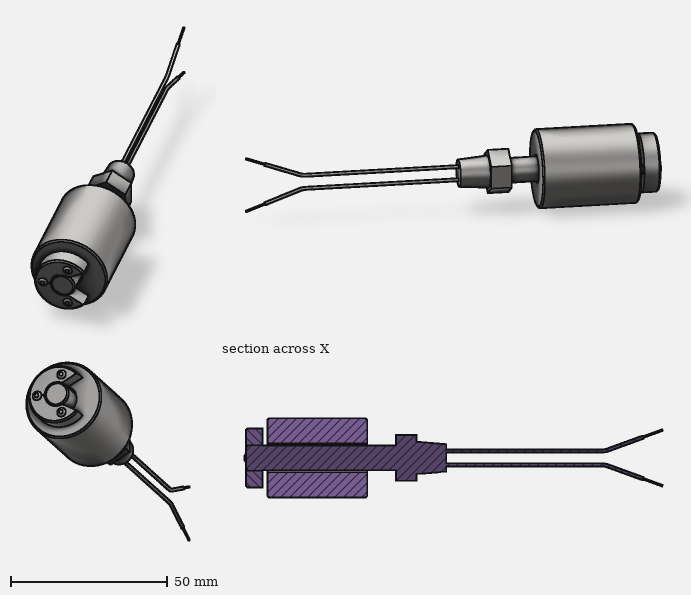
import cadquery as cq
import math

TOTAL_LENGTH = 133.9

CLIP_DIAMETER = 19.0
CLIP_FRONT = 0.5
CLIP_BACK = 5.9
CLIP_CHAMFER = 0.5
CLIP_MOUTH_HALF_ANGLE = 28.5
CLIP_MOUTH_APEX_X = -4.7
BUMP_COUNT = 3
BUMP_CIRCLE_RADIUS = 6.5
BUMP_PITCH_ANGLE = 105.0
BUMP_BASE_RADIUS = 1.5
BUMP_TIP_RADIUS = 0.7
BUMP_HEIGHT = CLIP_FRONT

FLOAT_DIAMETER = 25.5
FLOAT_FRONT = 7.4
FLOAT_LENGTH = 32.0
FLOAT_BORE_DIAMETER = 9.1
FLOAT_CHAMFER = 0.5

STEM_DIAMETER = 8.0
STEM_CHAMFER = 0.5
HEX_START = 48.5
HEX_LENGTH = 6.7
HEX_ACROSS_FLATS = 12.7
THREAD_START = HEX_START + HEX_LENGTH
THREAD_END = 64.7
THREAD_LARGE_DIAMETER = 10.5
THREAD_SMALL_DIAMETER = 8.8

WIRE_DIAMETER = 1.1
CONDUCTOR_DIAMETER = 0.5
WIRE_OFFSET = 2.21
WIRE_BEND_START = 114.3
WIRE_BEND_RADIUS = 6.0
WIRE_SPLAY_ANGLE = math.radians(20)
INSULATION_END = 127.6


def disc(diameter, start, end):
    """Round bar along Y between two Y positions."""
    return section_plane(start).circle(diameter / 2).extrude(end - start)


def section_plane(y):
    """Plane across the axis at y, extruding toward +Y; its local axes are X and -Z."""
    return cq.Workplane(cq.Plane(origin=(0, y, 0), xDir=(1, 0, 0), normal=(0, 1, 0)))


def make_float():
    body = disc(FLOAT_DIAMETER, FLOAT_FRONT, FLOAT_FRONT + FLOAT_LENGTH)
    body = body.faces("<Y or >Y").edges().chamfer(FLOAT_CHAMFER)
    bore = disc(FLOAT_BORE_DIAMETER, FLOAT_FRONT, FLOAT_FRONT + FLOAT_LENGTH)
    return body.cut(bore)


def make_bump(x, z, base_y, direction):
    """Tapered bump rising from a clip face; direction is +1 or -1 along Y."""
    return cq.Solid.makeCone(
        BUMP_BASE_RADIUS, BUMP_TIP_RADIUS, BUMP_HEIGHT,
        cq.Vector(x, base_y, z), cq.Vector(0, direction, 0),
    )


def make_clip():
    clip = disc(CLIP_DIAMETER, CLIP_FRONT, CLIP_BACK).faces("<Y").edges().chamfer(CLIP_CHAMFER)

    mouth_end_x = CLIP_DIAMETER
    mouth_half_height = (mouth_end_x - CLIP_MOUTH_APEX_X) * math.tan(math.radians(CLIP_MOUTH_HALF_ANGLE))
    mouth = (
        section_plane(CLIP_FRONT)
        .moveTo(CLIP_MOUTH_APEX_X, 0)
        .lineTo(mouth_end_x, mouth_half_height)
        .lineTo(mouth_end_x, -mouth_half_height)
        .close()
        .extrude(CLIP_BACK - CLIP_FRONT)
    )
    clip = clip.cut(disc(STEM_DIAMETER, CLIP_FRONT, CLIP_BACK)).cut(mouth)

    for index in range(BUMP_COUNT):
        angle = math.radians(180 + (index - (BUMP_COUNT - 1) / 2) * BUMP_PITCH_ANGLE)
        x = BUMP_CIRCLE_RADIUS * math.cos(angle)
        z = BUMP_CIRCLE_RADIUS * math.sin(angle)
        clip = clip.union(make_bump(x, z, CLIP_FRONT, -1))
        clip = clip.union(make_bump(x, z, CLIP_BACK, 1))
    return clip


def make_wire(side):
    """Lead that splays outward to side +1 (up) or -1 (down) and ends in a bare conductor."""
    def bend_point(angle):
        y = WIRE_BEND_START + WIRE_BEND_RADIUS * math.sin(angle)
        z = WIRE_OFFSET + WIRE_BEND_RADIUS * (1 - math.cos(angle))
        return y, side * z

    bend_middle = bend_point(WIRE_SPLAY_ANGLE / 2)
    bend_end = bend_point(WIRE_SPLAY_ANGLE)
    slope = side * math.tan(WIRE_SPLAY_ANGLE)
    insulation_end = (INSULATION_END, bend_end[1] + (INSULATION_END - bend_end[0]) * slope)
    path = (
        cq.Workplane("YZ")
        .moveTo(THREAD_END, side * WIRE_OFFSET)
        .lineTo(WIRE_BEND_START, side * WIRE_OFFSET)
        .threePointArc(bend_middle, bend_end)
        .lineTo(*insulation_end)
    )
    insulation = (
        section_plane(THREAD_END)
        .center(0, -side * WIRE_OFFSET)
        .circle(WIRE_DIAMETER / 2)
        .sweep(path)
    )

    rim_overhang = CONDUCTOR_DIAMETER / 2 * math.sin(WIRE_SPLAY_ANGLE)
    conductor_length = (TOTAL_LENGTH - rim_overhang - INSULATION_END) / math.cos(WIRE_SPLAY_ANGLE)
    conductor = cq.Solid.makeCylinder(
        CONDUCTOR_DIAMETER / 2, conductor_length,
        cq.Vector(0, *insulation_end),
        cq.Vector(0, math.cos(WIRE_SPLAY_ANGLE), side * math.sin(WIRE_SPLAY_ANGLE)),
    )
    return insulation.union(conductor)


def make_stem():
    stem = disc(STEM_DIAMETER, CLIP_FRONT, HEX_START).faces("<Y").edges().chamfer(STEM_CHAMFER)

    hex_corner_diameter = HEX_ACROSS_FLATS / math.cos(math.pi / 6)
    hexagon = (
        section_plane(HEX_START)
        .transformed(rotate=(0, 0, 90))
        .polygon(6, hex_corner_diameter)
        .extrude(HEX_LENGTH)
    )
    thread = cq.Solid.makeCone(
        THREAD_LARGE_DIAMETER / 2, THREAD_SMALL_DIAMETER / 2, THREAD_END - THREAD_START,
        cq.Vector(0, THREAD_START, 0), cq.Vector(0, 1, 0),
    )
    stem = stem.union(hexagon).union(thread)
    for side in (1, -1):
        stem = stem.union(make_wire(side))
    return stem


float_body = make_float()
clip = make_clip()
stem = make_stem()

result = cq.Compound.makeCompound([float_body.val(), clip.val(), stem.val()])